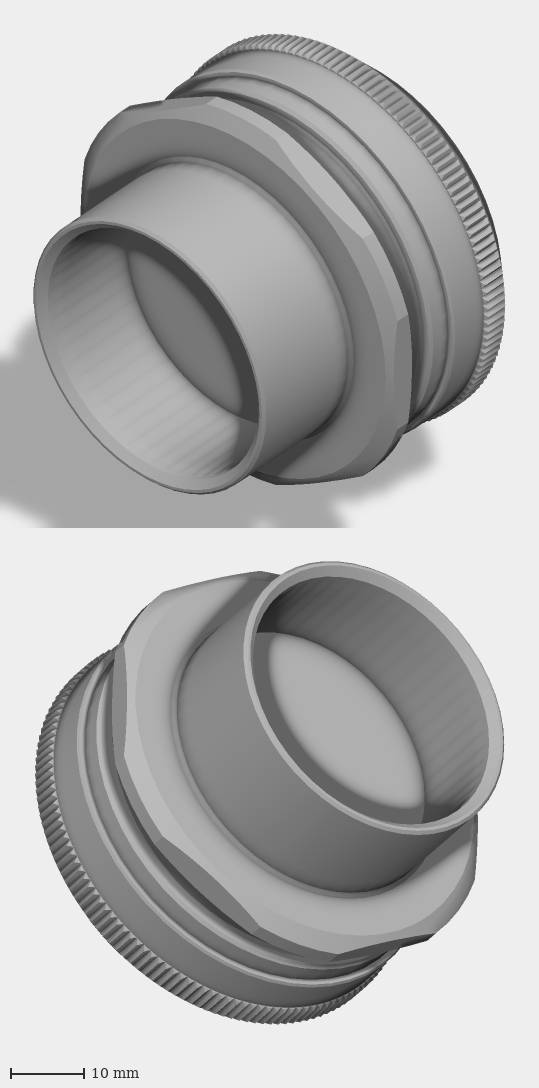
import cadquery as cq
import math


tube_radius = 42.4 / 2
tube_end_chamfer = 0.4
bore_radius = 38.4 / 2
bore_chamfer = 1.15
bore_depth = 17.5
tube_foot = 0.6

hex_front = 17.95
hex_width = 4.95
hex_across_flats = 57.0
hex_corner_radius = 59.85 / 2
hex_face_radius = 55.0 / 2
hex_chamfer_width = 1.4
hex_back = hex_front + hex_width

neck_radius = 51.0 / 2
neck_foot = 0.5
ring_radius = 55.0 / 2
ring_front = 27.4
ring_chamfer = 0.5

cap_front = 30.9
cap_radius = 57.0 / 2
cap_chamfer_width = 0.4
cap_chamfer_depth = 0.25
knurl_front = 37.1
knurl_radius = 58.3 / 2
knurl_chamfer = 0.4
total_length = 46.0
cap_back_radius = 48.25 / 2
cone_front = total_length - (knurl_radius - cap_back_radius)
tooth_count = 140
first_tooth_angle = math.radians(0.4)


def revolve_profile(points):
    """Turn a closed (radius, y) outline about the Y axis."""
    return cq.Workplane("XY").polyline(points).close().revolve(360, (0, 0, 0), (0, 1, 0))


def cross_section(start):
    """Workplane across the axis at y = start; negative extrusions run towards +Y."""
    return cq.Workplane("XZ", origin=(0, start, 0))


def make_tube():
    return revolve_profile([
        (0, 0),
        (tube_radius - tube_end_chamfer, 0),
        (tube_radius, tube_end_chamfer),
        (tube_radius, hex_front - tube_foot),
        (tube_radius + tube_foot, hex_front),
        (0, hex_front),
    ])


def make_hex_collar():
    blank = revolve_profile([
        (0, hex_front),
        (hex_face_radius, hex_front),
        (hex_corner_radius, hex_front + hex_chamfer_width),
        (hex_corner_radius, hex_back - hex_chamfer_width),
        (hex_face_radius, hex_back),
        (0, hex_back),
    ])
    circumscribed_diameter = hex_across_flats / math.cos(math.pi / 6)
    hexagon = (
        cross_section(hex_front)
        .transformed(rotate=(0, 0, 30))
        .polygon(6, circumscribed_diameter)
        .extrude(-hex_width)
    )
    return blank.intersect(hexagon)


def make_neck_and_ring():
    return revolve_profile([
        (0, hex_back),
        (neck_radius + neck_foot, hex_back),
        (neck_radius, hex_back + neck_foot),
        (neck_radius, ring_front - neck_foot),
        (neck_radius + neck_foot, ring_front),
        (ring_radius - ring_chamfer, ring_front),
        (ring_radius, ring_front + ring_chamfer),
        (ring_radius, cap_front),
        (0, cap_front),
    ])


def make_cap_skirt():
    return revolve_profile([
        (0, cap_front),
        (cap_radius - cap_chamfer_depth, cap_front),
        (cap_radius, cap_front + cap_chamfer_width),
        (cap_radius, knurl_front),
        (0, knurl_front),
    ])


def make_knurled_end():
    """Coned end whose tooth roots are flush with the cap skirt."""
    blank = revolve_profile([
        (0, knurl_front),
        (knurl_radius - knurl_chamfer, knurl_front),
        (knurl_radius, knurl_front + knurl_chamfer),
        (knurl_radius, cone_front),
        (cap_back_radius, total_length),
        (0, total_length),
    ])
    teeth = []
    for index in range(2 * tooth_count):
        radius = cap_radius if index % 2 else knurl_radius
        angle = first_tooth_angle + index * math.pi / tooth_count
        teeth.append((radius * math.cos(angle), radius * math.sin(angle)))
    band_length = total_length - knurl_front
    toothed_disc = cross_section(knurl_front).polyline(teeth).close().extrude(-band_length)
    return blank.intersect(toothed_disc)


def make_bore():
    return revolve_profile([
        (0, 0),
        (bore_radius + bore_chamfer, 0),
        (bore_radius, bore_chamfer),
        (bore_radius, bore_depth),
        (0, bore_depth),
    ])


result = (
    make_tube()
    .union(make_hex_collar())
    .union(make_neck_and_ring())
    .union(make_cap_skirt())
    .union(make_knurled_end())
    .cut(make_bore())
)